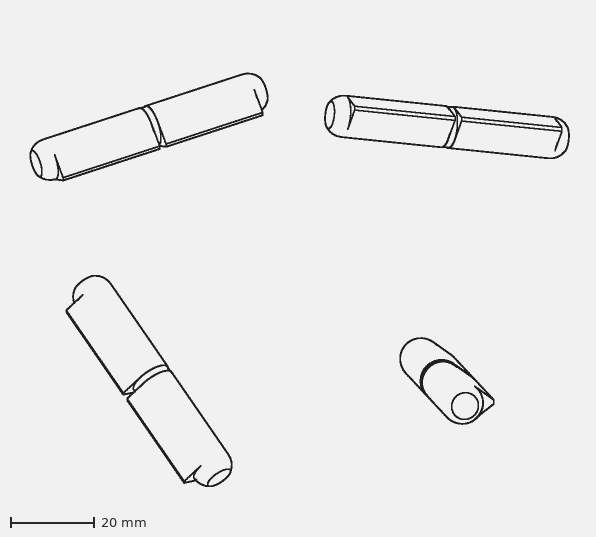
import cadquery as cq
import math

overall_length = 60.0
barrel_radius = 10.0 / 2
washer_radius = 9.8 / 2
overall_width = 12.7
tip_half_height = 0.5
washer_length = 1.7
cap_length = 3.5
cap_end_radius = 6.55 / 2

half_length = overall_length / 2
barrel_end = half_length - cap_length
tip_x = overall_width - barrel_radius


def make_leaf():
    """Teardrop leaf on the +Y side: a barrel with a wing tangent to it."""
    tip_distance = math.hypot(tip_x, tip_half_height)
    tangent_angle = math.atan2(tip_half_height, tip_x) + math.acos(barrel_radius / tip_distance)
    tangent_x = barrel_radius * math.cos(tangent_angle)
    tangent_z = barrel_radius * math.sin(tangent_angle)
    leaf_start = washer_length / 2
    return (
        cq.Workplane("XZ", origin=(0, leaf_start, 0))
        .moveTo(tangent_x, tangent_z)
        .threePointArc((-barrel_radius, 0), (tangent_x, -tangent_z))
        .lineTo(tip_x, -tip_half_height)
        .lineTo(tip_x, tip_half_height)
        .close()
        .extrude(-(barrel_end - leaf_start))
    )


def make_cap():
    """Domed cap on the +Y side, tangent to the barrel and cut flat at its end."""
    arc_inset = barrel_radius - cap_end_radius
    dome_radius = (arc_inset**2 + cap_length**2) / (2 * arc_inset)
    half_angle = math.asin(cap_length / dome_radius) / 2
    arc_middle = (
        barrel_radius - dome_radius * (1 - math.cos(half_angle)),
        barrel_end + dome_radius * math.sin(half_angle),
    )
    return (
        cq.Workplane("XY")
        .moveTo(0, barrel_end)
        .lineTo(barrel_radius, barrel_end)
        .threePointArc(arc_middle, (cap_end_radius, half_length))
        .lineTo(0, half_length)
        .close()
        .revolve(360, (0, 0, 0), (0, 1, 0))
    )


washer = cq.Workplane("XZ").circle(washer_radius).extrude(washer_length / 2, both=True)
hinge_half = make_leaf().union(make_cap())
result = washer.union(hinge_half).union(hinge_half.mirror("XZ"))